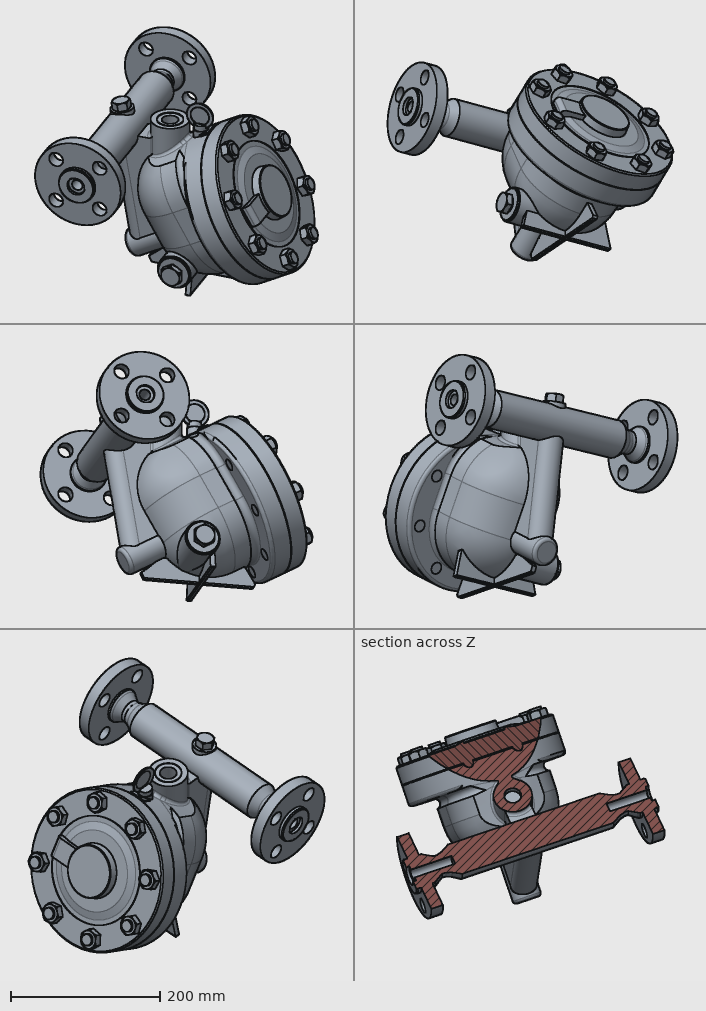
import cadquery as cq
import math

tilt = 30.0
seam_tolerance = 0.005

half_length = 175.0
pipe_radius = 26.0
pipe_half_length = 109.2
reducer_end = 121.5
reducer_radius = 18.5
neck_radius = 16.0
neck_start = 128.8
neck_end = 134.5
hub_radius = 23.0
hub_start = 145.2
hub_foot_radius = 25.0
hub_foot = 148.0
pipe_flange_radius = 62.0
pipe_flange_inner = 151.2
pipe_flange_outer = 168.5
raised_face_radius = 25.5
raised_face_chamfer = 2.0
pipe_bolt_circle_radius = 44.5
pipe_bolt_hole_diameter = 20.0
pipe_bolt_holes = 4
first_bolt_hole_angle = 45
bore_diameter = 15.0
bore_depth = 63.0
socket_diameter = 25.0
socket_depth = 4.5

down_pipe_lean = 9.5
down_pipe_radius = 18.2
down_pipe_length = 168.0
pipe_plug_boss_radius = 16.0
pipe_plug_boss_height = 28.0
pipe_plug_height = 39.5
pipe_plug_corner_diameter = 26.0

joint_height = -154.5
joint_radius = 111.0
housing_flange_back = 89.2
housing_flange_face = 119.7
housing_flange_fillet = 5.0
gasket_radius = 165.0 / 2
gasket_thickness = 1.0
cover_back = housing_flange_face + gasket_thickness
cover_face = 146.3
cover_chamfer = 2.0

bowl_radius = 74.5
bowl_sphere_centre = 49.5
bowl_top_centre = -112.0
bowl_bottom_centre = -162.5
groove_start = 75.2
groove_depth = 5.5
groove_floor = 83.3
groove_end_rise = 2.5
top_bridge_width = 52.5
top_bridge_flange_width = 91.0

tube_radius = 20.0
tube_height = -159.0
tube_end = -79.0
tube_round = 5.0
web_thickness = 36.0

boss_x = 65.0
boss_radius = 26.2
boss_top = 25.2
boss_depth = 42.0
boss_fillet = 4.2
boss_recess_diameter = 35.7
boss_recess_depth = 1.0
boss_bore_diameter = 22.5
boss_bore_depth = 28.0

drain_x = 102.2
drain_z = -162.0
drain_radius = 48.0 / 2
drain_end = 77.0
drain_step_radius = 44.0 / 2
drain_step_end = 79.8
drain_washer_radius = 11.2
drain_hex_start = 82.5
drain_hex_end = 91.5
drain_hex_corner_diameter = 30.5

foot_bottom = -200.2
foot_thickness = 7.0
cross_plate_x = 118.5
cross_plate_half_width = 69.3
cross_plate_top_half_width = 60.2
cross_plate_top = -161.0
plate_edge_chamfer = 1.8

post_x = 109.5
post_radius = 10.0
post_bottom = -14.0
post_shoulder = 20.5
post_top = 28.7
post_cap_radius = 9.5
tag_radius = 19.0
tag_z = 41.3
tag_y = -3.0
tag_thickness = 2.0
tag_dish_radius = 13.3
tag_dish_depth = 0.7
post_pad_width = 24.5
post_pad_start = 105.0
post_pad_rise = 1.5
post_pad_root = 7.0

cover_dome_radius = 74.0
cover_dome_edge = 1.0
cover_dome_shoulder_radius = 66.5
cover_dome_inner_radius = 55.3
cover_dome_height = 4.2
cover_hub_radius = 35.0
cover_hub_foot_radius = 37.5
cover_hub_top = 162.8
cover_hub_round = 1.0
cover_rib_width = 29.5
cover_rib_top = 158.2
cover_rib_reach = 70.0
cover_rib_round = 6.3
studs = 8
stud_circle_radius = 92.8
stud_diameter = 16.0
stud_end = 160.5
nut_top = 157.0
nut_corner_diameter = 28.5
nut_chamfer_rise = 1.8


def seam_edges(joined, first, second):
    """Edges of a joined body that lie on the surfaces of both of its parts."""
    skins = [cq.Compound.makeCompound(part.val().Faces()) for part in (first, second)]
    seams = [
        edge
        for edge in joined.edges().vals()
        if all(
            skin.distance(cq.Vertex.makeVertex(*edge.positionAt(place).toTuple())) < seam_tolerance
            for skin in skins
            for place in (0.25, 0.5, 0.75)
        )
    ]
    return joined.newObject(seams)


def join_with_fillet(first, second, radius):
    """Join two solids and round the corner along the seam between them."""
    joined = first.union(second)
    return seam_edges(joined, first, second).fillet(radius)


def tilted(shape):
    """Turn a shape built along X onto the rising bowl axis."""
    return shape.rotate((0, 0, 0), (0, 1, 0), -tilt)


def axial_cylinder(radius, start, end, height, y=0.0):
    """Cylinder along X between two stations, centred at the given Y and height."""
    return cq.Workplane("YZ", origin=(start, 0, 0)).center(y, height).circle(radius).extrude(end - start)


def on_lean_axis(shape):
    """Lean a shape built along Z onto the axis of the down pipe."""
    return shape.rotate((0, 0, 0), (0, 1, 0), -down_pipe_lean)


def hexagon_head(corner_diameter, height, rise):
    """Hexagon head along +Z from the origin, its outer corners rounded off by a cone."""
    head = cq.Workplane("XY").polygon(6, corner_diameter).extrude(height)
    flat_radius = corner_diameter / 2 * math.cos(math.pi / 6)
    cone = (
        cq.Workplane("XZ")
        .moveTo(0, 0)
        .lineTo(corner_diameter / 2, 0)
        .lineTo(corner_diameter / 2, height - rise)
        .lineTo(flat_radius, height)
        .lineTo(0, height)
        .close()
        .revolve(360, (0, 0), (0, 1))
    )
    return head.intersect(cone)


def inlet_outlet_pipe():
    half_profile = [
        (pipe_radius, pipe_half_length),
        (reducer_radius, reducer_end),
        (neck_radius, neck_start),
        (neck_radius, neck_end),
        (hub_radius, hub_start),
        (hub_foot_radius, hub_foot),
        (hub_foot_radius, pipe_flange_inner),
        (pipe_flange_radius, pipe_flange_inner),
        (pipe_flange_radius, pipe_flange_outer),
        (raised_face_radius, pipe_flange_outer),
        (raised_face_radius, half_length - raised_face_chamfer),
        (raised_face_radius - raised_face_chamfer / 2, half_length),
    ]
    mirrored = [(r, -y) for r, y in reversed(half_profile)]
    outline = [(0, -half_length)] + mirrored + half_profile + [(0, half_length)]
    return cq.Workplane("XY").polyline(outline).close().revolve(360, (0, 0), (0, 1))


def pipe_cuts():
    """Bolt holes, and a blind bore with a wider socket at each end of the pipe."""
    mouth = cq.Workplane("XZ", origin=(0, half_length, 0))
    bore = mouth.circle(bore_diameter / 2).extrude(bore_depth)
    bore = bore.union(mouth.circle(socket_diameter / 2).extrude(socket_depth))
    cuts = bore.union(bore.mirror("XZ"))
    for far_side in (pipe_flange_outer, -pipe_flange_inner):
        holes = (
            cq.Workplane("XZ", origin=(0, far_side, 0))
            .polarArray(pipe_bolt_circle_radius, first_bolt_hole_angle, 360, pipe_bolt_holes)
            .circle(pipe_bolt_hole_diameter / 2)
            .extrude(pipe_flange_outer - pipe_flange_inner)
        )
        cuts = cuts.union(holes)
    return cuts


def down_pipe():
    tube = cq.Workplane("XY").circle(down_pipe_radius).extrude(-down_pipe_length)
    return on_lean_axis(tube)


def pipe_plug():
    boss = cq.Workplane("XY").circle(pipe_plug_boss_radius).extrude(pipe_plug_boss_height)
    head_height = pipe_plug_height - pipe_plug_boss_height
    head = hexagon_head(pipe_plug_corner_diameter, head_height, nut_chamfer_rise)
    head = head.rotate((0, 0, 0), (0, 0, 1), 90)
    return on_lean_axis(boss.union(head.translate((0, 0, pipe_plug_boss_height))))


def bowl_half_profile():
    """Half section of the bowl: spherical end, straight wall and groove before the flange."""
    slant = math.sqrt(0.5)
    return (
        cq.Workplane("XY")
        .moveTo(bowl_sphere_centre - bowl_radius, 0)
        .threePointArc(
            (bowl_sphere_centre - bowl_radius * slant, bowl_radius * slant),
            (bowl_sphere_centre, bowl_radius),
        )
        .lineTo(groove_start, bowl_radius)
        .threePointArc(
            (groove_floor, bowl_radius - groove_depth),
            (housing_flange_back, bowl_radius + groove_end_rise),
        )
        .lineTo(housing_flange_face, bowl_radius + groove_end_rise)
        .lineTo(housing_flange_face, 0)
        .close()
    )


def bowl():
    """Round lower half, straight middle and round upper half, trimmed to the flange rim."""
    upper_half = bowl_half_profile().revolve(180, (0, 0), (1, 0))
    lower_half = upper_half.mirror("XY")
    half_middle = bowl_half_profile().extrude(bowl_top_centre - bowl_bottom_centre)
    middle = half_middle.union(half_middle.mirror("XZ")).translate((0, 0, bowl_bottom_centre))
    body = middle.union(upper_half.translate((0, 0, bowl_top_centre)))
    body = body.union(lower_half.translate((0, 0, bowl_bottom_centre)))
    rim = axial_cylinder(joint_radius, bowl_sphere_centre - bowl_radius, housing_flange_face, joint_height)
    return body.intersect(rim)


def housing_flange():
    """Flange with a bridge at its top that closes the groove flush with the rim."""
    flange = axial_cylinder(joint_radius, housing_flange_back, housing_flange_face, joint_height)
    flange = flange.faces("<X").edges().fillet(housing_flange_fillet)
    bridge = (
        cq.Workplane("XY", origin=(0, 0, bowl_top_centre))
        .moveTo(groove_start, -top_bridge_width / 2)
        .lineTo(housing_flange_back, -top_bridge_flange_width / 2)
        .lineTo(housing_flange_face, -top_bridge_flange_width / 2)
        .lineTo(housing_flange_face, top_bridge_flange_width / 2)
        .lineTo(housing_flange_back, top_bridge_flange_width / 2)
        .lineTo(groove_start, top_bridge_width / 2)
        .close()
        .extrude(bowl_radius)
    )
    rim = axial_cylinder(joint_radius, groove_start, housing_flange_face, joint_height)
    return flange.union(bridge.intersect(rim))


def lower_tube():
    tube = axial_cylinder(tube_radius, tube_end, bowl_sphere_centre, tube_height)
    return tube.faces("<X").edges().fillet(tube_round)


def web():
    """Thick web that fills the space between the pipe, the down pipe and the bowl."""
    lean = math.radians(down_pipe_lean)
    slope = math.radians(tilt)
    bottom = (down_pipe_length * math.sin(lean), -down_pipe_length * math.cos(lean))
    bowl_low = (
        bowl_sphere_centre * math.cos(slope) - bowl_bottom_centre * math.sin(slope),
        bowl_sphere_centre * math.sin(slope) + bowl_bottom_centre * math.cos(slope),
    )
    outline = [(0, 0), bottom, bowl_low, (boss_x, 0)]
    return cq.Workplane("XZ").polyline(outline).close().extrude(web_thickness / 2, both=True)


def vertical_boss():
    top = cq.Workplane("XY", origin=(boss_x, 0, boss_top))
    return top.circle(boss_radius).extrude(-boss_depth - boss_top)


def vertical_boss_cuts():
    top = cq.Workplane("XY", origin=(boss_x, 0, boss_top))
    recess = top.circle(boss_recess_diameter / 2).extrude(-boss_recess_depth)
    return recess.union(top.circle(boss_bore_diameter / 2).extrude(-boss_bore_depth))


def drain():
    """Drain boss pointing to -Y, closed by a hexagon plug."""
    centre = cq.Workplane("XZ", origin=(drain_x, 0, drain_z))
    boss = centre.circle(drain_radius).extrude(drain_end)
    boss = boss.union(centre.circle(drain_step_radius).extrude(drain_step_end))
    boss = boss.union(centre.circle(drain_washer_radius).extrude(drain_hex_start))
    head = hexagon_head(drain_hex_corner_diameter, drain_hex_end - drain_hex_start, nut_chamfer_rise)
    head = head.rotate((0, 0, 0), (0, 0, 1), 90).rotate((0, 0, 0), (1, 0, 0), 90)
    return boss.union(head.translate((drain_x, -drain_hex_start, drain_z)))


def foot():
    """Two upright plates that cross under the bowl."""
    long_outline = [
        (35.7, -190.8),
        (40.2, foot_bottom),
        (190.0, foot_bottom),
        (192.5, -195.0),
        (175.7, -167.3),
        (122.5, -167.3),
        (63.0, -168.0),
    ]
    long_plate = cq.Workplane("XZ").polyline(long_outline).close().extrude(foot_thickness / 2, both=True)
    cross_outline = [
        (-cross_plate_half_width, foot_bottom),
        (cross_plate_half_width, foot_bottom),
        (cross_plate_top_half_width, cross_plate_top),
        (-cross_plate_top_half_width, cross_plate_top),
    ]
    cross_plate = (
        cq.Workplane("YZ", origin=(cross_plate_x, 0, 0))
        .polyline(cross_outline)
        .close()
        .extrude(foot_thickness / 2, both=True)
    )
    plates = long_plate.union(cross_plate)
    return plates.faces("<Z").edges().chamfer(plate_edge_chamfer)


def tag_post():
    """Post on the flange rim carrying a round dished tag."""
    foot_plane = cq.Workplane("XY", origin=(post_x, 0, post_bottom))
    post = foot_plane.circle(post_radius).extrude(post_shoulder - post_bottom)
    cap_plane = cq.Workplane("XY", origin=(post_x, 0, post_shoulder))
    cap = cap_plane.circle(post_cap_radius).extrude(post_top - post_shoulder)
    front = cq.Workplane("XZ", origin=(post_x, tag_y - tag_thickness / 2, tag_z))
    tag = front.circle(tag_radius).extrude(-tag_thickness)
    tag = tag.cut(front.circle(tag_dish_radius).extrude(-tag_dish_depth))
    return post.union(cap).union(tag)


def post_pad():
    """Low pad on the top of the flange rim beside the post."""
    length = housing_flange_face - post_pad_start
    height = post_pad_root + post_pad_rise
    pad = cq.Workplane("XY").box(length, post_pad_width, height, centered=(False, True, False))
    return pad.translate((post_pad_start, 0, joint_height + joint_radius - post_pad_root))


def cover_plate():
    plate = axial_cylinder(joint_radius, cover_back, cover_face, joint_height)
    plate = plate.faces(">X").edges().chamfer(cover_chamfer)
    return plate.union(axial_cylinder(gasket_radius, housing_flange_face, cover_back, joint_height))


def cover_dome():
    """Shallow raised dome with a round hub in the middle of the cover."""
    profile = [
        (cover_back, 0),
        (cover_back, cover_dome_radius),
        (cover_face + cover_dome_edge, cover_dome_radius),
        (cover_face + cover_dome_edge, cover_dome_shoulder_radius),
        (cover_face + cover_dome_height, cover_dome_inner_radius),
        (cover_face + cover_dome_height, cover_hub_foot_radius),
        (cover_hub_top - cover_hub_round, cover_hub_radius + cover_hub_round),
        (cover_hub_top, cover_hub_radius),
        (cover_hub_top, 0),
    ]
    dome = cq.Workplane("XZ").polyline(profile).close().revolve(360, (0, 0), (1, 0))
    return dome.translate((0, 0, joint_height))


def cover_rib():
    """Bar running from the hub towards -Y, rounded down at its outer end."""
    rib = cq.Workplane("XY").box(
        cover_rib_top - cover_back, cover_rib_reach, cover_rib_width, centered=(False, False, True)
    )
    rib = rib.translate((cover_back, -cover_rib_reach, joint_height))
    return rib.faces("<Y").edges(">X").fillet(cover_rib_round)


def stud_positions():
    """Angle, Y and height above the joint axis of each stud."""
    pitch = 2 * math.pi / studs
    for index in range(studs):
        angle = (index + 0.5) * pitch
        yield angle, stud_circle_radius * math.cos(angle), stud_circle_radius * math.sin(angle)


def stud_shanks(start, end):
    shanks = cq.Workplane("XY")
    for _, y, height in stud_positions():
        shanks = shanks.union(axial_cylinder(stud_diameter / 2, start, end, joint_height + height, y))
    return shanks


def nuts():
    """Nuts on the cover face, each with one corner pointing away from the joint axis."""
    all_nuts = cq.Workplane("XY")
    for angle, y, height in stud_positions():
        nut = hexagon_head(nut_corner_diameter, nut_top - cover_face, nut_chamfer_rise)
        nut = nut.rotate((0, 0, 0), (0, 1, 0), 90).rotate((0, 0, 0), (1, 0, 0), 90 + math.degrees(angle))
        all_nuts = all_nuts.union(nut.translate((cover_face, y, joint_height + height)))
    return all_nuts


def make_housing():
    bowl_part = bowl().union(housing_flange())
    bowl_part = bowl_part.cut(stud_shanks(housing_flange_back, housing_flange_face))
    body = tilted(bowl_part).union(web())
    body = join_with_fillet(body, vertical_boss(), boss_fillet)
    features = [
        drain(),
        foot(),
        tilted(lower_tube()),
        tilted(post_pad()),
        inlet_outlet_pipe(),
        down_pipe(),
        tag_post(),
        pipe_plug(),
    ]
    for feature in features:
        body = body.union(feature)
    return body.cut(pipe_cuts()).cut(vertical_boss_cuts())


def make_cover():
    """Cover with its nuts and the studs that pass through the housing flange."""
    cover_body = cover_plate().union(cover_dome()).union(cover_rib()).union(nuts())
    return tilted(cover_body.union(stud_shanks(housing_flange_back, stud_end)))


housing = make_housing()
cover = make_cover()

result = cq.Compound.makeCompound([housing.val(), cover.val()])